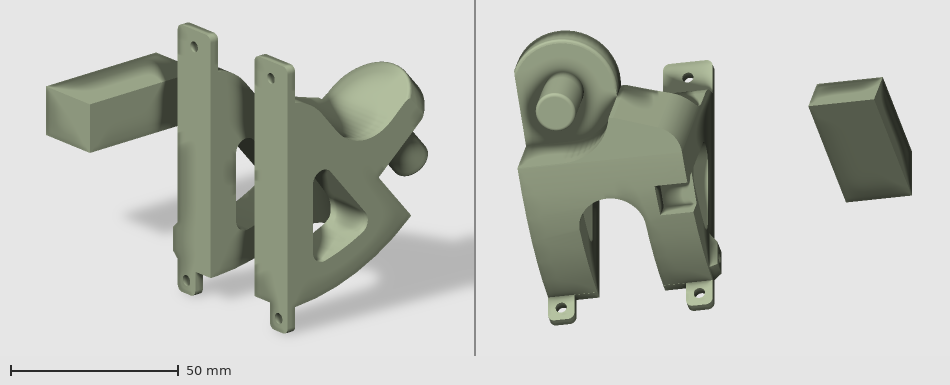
import math

import cadquery as cq


TILT = 50.0
SIN = math.sin(math.radians(TILT))
COS = math.cos(math.radians(TILT))

WIDTH = 50.0
RAIL_WIDTH = 15.0
RAIL_THICKNESS = 3.0
RAIL_TOP = 85.14
TAB_WIDTH = 8.0
TAB_HEIGHT = 8.15
RAIL_CORNER_RADIUS = 2.0
SCREW_DIAMETER = 3.4
TOP_SCREW_INSET = 7.5
TOP_SCREW_Z = 79.7
TAB_SCREW_Z = 4.2

HEAD_X = 36.0
HEAD_REACH = 70.1
DISC_RADIUS = 16.0
DISC_TOP_LEVEL = 18.3
DISC_BOTTOM_LEVEL = 8.6
PIN_RADIUS = 6.0
UNDERSIDE_LEVEL = -11.4
HEAD_EDGE_RADIUS = 1.0

VALLEY_RADIUS = 15.2
VALLEY_END_REACH = 68.8
CREST_Y = 13.5
CREST_CENTRE_Y = 0.0
BELLY_BOTTOM_Z = 8.15

SHOULDER_START_REACH = 53.7
SHOULDER_RADIUS = 9.0
SHOULDER_SLOPE = 19.3
ARM_END_REACH = 66.7

SLOT_TILT = 14.3
SLOT_BACK_Y = 29.1
SLOT_BACK_Z = 54.85

WINDOW_FRONT_Y = 10.0
WINDOW_REACH = 43.8
WINDOW_BELLY_OFFSET = 10.2
WINDOW_CORNER_RADIUS = 4.0

NOTCH_WIDTH = 10.0
NOTCH_TOP_LEVEL = -1.2
NOTCH_DEPTH = 10.0

BOSS_HEIGHT = 2.1
BOSS_BASE_DEPTH = 7.8
BOSS_BOTTOM_Z = 9.9
BOSS_TOP_Z = 21.7
BOSS_HOLE_DIAMETER = 3.1
BOSS_HOLE_Y = 2.9
BOSS_HOLE_DEPTH = 5.0

WEDGE_X = -60.0
WEDGE_WIDTH = 20.0
WEDGE_BOTTOM_Z = 32.2
WEDGE_HEIGHT = 15.5
WEDGE_LENGTH = 56.4

OVERCUT = 1.0
FAR = 200.0


def yz_point(reach, level):
    """(Y, Z) of a point given by its reach and level in the head's tilted directions."""
    return (reach * SIN - level * COS, reach * COS + level * SIN)


def head_plane(level):
    """Plane square to the head axis: local x is X and local y is the reach."""
    y, z = yz_point(0, level)
    return cq.Workplane(cq.Plane(origin=(0, y, z), xDir=(1, 0, 0), normal=(0, -COS, SIN)))


def side_plane(x):
    """Plane square to X: local x is Y and local y is Z."""
    return cq.Workplane("YZ", origin=(x, 0, 0))


def polar(centre, radius, degrees):
    """Point on a circle."""
    angle = math.radians(degrees)
    return (centre[0] + radius * math.cos(angle), centre[1] + radius * math.sin(angle))


BELLY_RADIUS = (BELLY_BOTTOM_Z * SIN - UNDERSIDE_LEVEL) / (1 - SIN)
BELLY_CENTRE = (0, BELLY_BOTTOM_Z + BELLY_RADIUS)


def arm_profile():
    """Side profile: valley behind the disc, crest against the rails, round belly below."""
    valley_centre = yz_point(VALLEY_END_REACH, DISC_TOP_LEVEL + VALLEY_RADIUS)
    valley_start_angle = 270 - TILT
    valley_start = polar(valley_centre, VALLEY_RADIUS, valley_start_angle)
    valley_middle = polar(valley_centre, VALLEY_RADIUS, valley_start_angle + 45)
    valley_end = yz_point(VALLEY_END_REACH, DISC_TOP_LEVEL)

    crest_start = (CREST_Y, valley_start[1] + (valley_start[0] - CREST_Y) * SIN / COS)
    crest_radius = (CREST_Y - CREST_CENTRE_Y) / SIN
    crest_centre = (CREST_CENTRE_Y, crest_start[1] - crest_radius * COS)

    return (
        side_plane(0)
        .moveTo(0, BELLY_BOTTOM_Z)
        .threePointArc(
            polar(BELLY_CENTRE, BELLY_RADIUS, -90 + (90 - TILT) / 2),
            polar(BELLY_CENTRE, BELLY_RADIUS, -TILT),
        )
        .lineTo(*yz_point(VALLEY_END_REACH, UNDERSIDE_LEVEL))
        .lineTo(*valley_end)
        .threePointArc(valley_middle, valley_start)
        .lineTo(*crest_start)
        .threePointArc(
            polar(crest_centre, crest_radius, 90 - TILT / 2),
            polar(crest_centre, crest_radius, 90),
        )
        .close()
        .extrude(WIDTH)
    )


def arm_outline():
    """Outline square to the head axis: rounded left shoulder, sloping edge, flat end under the disc."""
    centre = (SHOULDER_RADIUS, SHOULDER_START_REACH)
    slope_start = polar(centre, SHOULDER_RADIUS, 90 + SHOULDER_SLOPE)
    slope_run = (ARM_END_REACH - slope_start[1]) / math.tan(math.radians(SHOULDER_SLOPE))
    disc_side_x = HEAD_X - math.sqrt(DISC_RADIUS**2 - (HEAD_REACH - ARM_END_REACH) ** 2)
    return (
        head_plane(-FAR / 2)
        .moveTo(0, -FAR)
        .lineTo(0, SHOULDER_START_REACH)
        .threePointArc(polar(centre, SHOULDER_RADIUS, 135 + SHOULDER_SLOPE / 2), slope_start)
        .lineTo(slope_start[0] + slope_run, ARM_END_REACH)
        .lineTo(disc_side_x, ARM_END_REACH)
        .lineTo(disc_side_x, VALLEY_END_REACH)
        .lineTo(WIDTH, VALLEY_END_REACH)
        .lineTo(WIDTH, -FAR)
        .close()
        .extrude(FAR)
    )


def head_cylinder(radius, bottom_level, top_level):
    """Cylinder on the head axis."""
    base = head_plane(bottom_level).center(HEAD_X, HEAD_REACH)
    return base.circle(radius).extrude(top_level - bottom_level)


def right_of(x):
    """All the space to the right of x."""
    return side_plane(x).rect(2 * FAR, 2 * FAR).extrude(FAR)


def head_disc():
    """Disc with rounded rims, cut flush with the right side of the bracket."""
    disc = head_cylinder(DISC_RADIUS, DISC_BOTTOM_LEVEL, DISC_TOP_LEVEL)
    disc = disc.edges("%CIRCLE").fillet(HEAD_EDGE_RADIUS)
    return disc.cut(right_of(WIDTH))


def pin_clearance():
    """Pocket around the pin below the disc, round on the left and running out on the right."""
    bottom_level = UNDERSIDE_LEVEL - OVERCUT
    run_out = (
        head_plane(bottom_level)
        .center(HEAD_X, HEAD_REACH)
        .rect(FAR, 2 * DISC_RADIUS)
        .extrude(DISC_BOTTOM_LEVEL - bottom_level)
    )
    run_out = run_out.intersect(right_of(HEAD_X))
    return head_cylinder(DISC_RADIUS, bottom_level, DISC_BOTTOM_LEVEL).union(run_out)


def head_pin():
    """Pin below the disc with a rounded tip, reaching the underside level."""
    pin = head_cylinder(PIN_RADIUS, UNDERSIDE_LEVEL, DISC_BOTTOM_LEVEL + OVERCUT)
    tip = cq.selectors.DirectionMinMaxSelector(cq.Vector(0, COS, -SIN))
    return pin.faces(tip).edges().fillet(HEAD_EDGE_RADIUS)


def slot():
    """Gap between the legs whose round back leans toward the mounting face at the top."""
    lean = math.radians(SLOT_TILT)
    plane = cq.Plane(
        origin=(WIDTH / 2, SLOT_BACK_Y, SLOT_BACK_Z),
        xDir=(1, 0, 0),
        normal=(0, -math.sin(lean), math.cos(lean)),
    )
    radius = WIDTH / 2 - RAIL_WIDTH
    return (
        cq.Workplane(plane)
        .moveTo(-radius, -FAR)
        .lineTo(-radius, -radius)
        .threePointArc((0, 0), (radius, -radius))
        .lineTo(radius, -FAR)
        .close()
        .extrude(FAR / 2, both=True)
    )


def windows():
    """Opening through both legs: upright front, tilted back, floor following the belly."""
    floor_radius = BELLY_RADIUS - WINDOW_BELLY_OFFSET
    floor_front_z = BELLY_CENTRE[1] - math.sqrt(floor_radius**2 - WINDOW_FRONT_Y**2)
    peak_z = (WINDOW_REACH - WINDOW_FRONT_Y * SIN) / COS
    centre_reach = BELLY_CENTRE[1] * COS
    centre_level = BELLY_CENTRE[1] * SIN
    corner_level = centre_level - math.sqrt(floor_radius**2 - (centre_reach - WINDOW_REACH) ** 2)
    corner = yz_point(WINDOW_REACH, corner_level)
    middle_y = (WINDOW_FRONT_Y + corner[0]) / 2
    middle_z = BELLY_CENTRE[1] - math.sqrt(floor_radius**2 - middle_y**2)
    opening = (
        side_plane(-OVERCUT)
        .moveTo(WINDOW_FRONT_Y, peak_z)
        .lineTo(WINDOW_FRONT_Y, floor_front_z)
        .threePointArc((middle_y, middle_z), corner)
        .close()
        .extrude(WIDTH + 2 * OVERCUT)
    )
    return opening.edges("|X").fillet(WINDOW_CORNER_RADIUS)


def notch():
    """Square notch in the underside, open below and to the left."""
    open_level = NOTCH_TOP_LEVEL - 2 * NOTCH_WIDTH
    return (
        side_plane(-OVERCUT)
        .polyline(
            [
                yz_point(WINDOW_REACH, NOTCH_TOP_LEVEL),
                yz_point(WINDOW_REACH, open_level),
                yz_point(WINDOW_REACH - NOTCH_WIDTH, open_level),
                yz_point(WINDOW_REACH - NOTCH_WIDTH, NOTCH_TOP_LEVEL),
            ]
        )
        .close()
        .extrude(NOTCH_DEPTH + OVERCUT)
    )


def left_rail():
    """Mounting rail with a foot tab flush to its outer edge and two screw holes."""
    rail_length = RAIL_TOP - TAB_HEIGHT
    rail = cq.Workplane("XY").box(RAIL_WIDTH, RAIL_THICKNESS, rail_length, centered=False)
    rail = rail.translate((0, 0, TAB_HEIGHT)).edges("|Y and >Z").fillet(RAIL_CORNER_RADIUS)
    tab = cq.Workplane("XY").box(TAB_WIDTH, RAIL_THICKNESS, TAB_HEIGHT, centered=False)
    tab = tab.edges("|Y and <Z").fillet(RAIL_CORNER_RADIUS)
    screw_holes = (
        cq.Workplane("XZ", origin=(0, -OVERCUT, 0))
        .pushPoints([(TOP_SCREW_INSET, TOP_SCREW_Z), (TAB_WIDTH / 2, TAB_SCREW_Z)])
        .circle(SCREW_DIAMETER / 2)
        .extrude(-RAIL_THICKNESS - 2 * OVERCUT)
    )
    return rail.union(tab).cut(screw_holes)


def side_boss():
    """Boss on the left side with 45 degree flanks above, below and behind."""
    base_height = BOSS_TOP_Z - BOSS_BOTTOM_Z
    middle_z = (BOSS_TOP_Z + BOSS_BOTTOM_Z) / 2
    top_depth = BOSS_BASE_DEPTH - BOSS_HEIGHT
    top_height = base_height - 2 * BOSS_HEIGHT
    return (
        side_plane(0)
        .center(BOSS_BASE_DEPTH / 2, middle_z)
        .rect(BOSS_BASE_DEPTH, base_height)
        .workplane(offset=-BOSS_HEIGHT)
        .center(-BOSS_HEIGHT / 2, 0)
        .rect(top_depth, top_height)
        .loft()
    )


def boss_hole():
    """Blind hole into the boss from the left."""
    middle_z = (BOSS_TOP_Z + BOSS_BOTTOM_Z) / 2
    return (
        side_plane(-BOSS_HEIGHT)
        .center(BOSS_HOLE_Y, middle_z)
        .circle(BOSS_HOLE_DIAMETER / 2)
        .extrude(BOSS_HOLE_DEPTH)
    )


def make_bracket():
    arm = arm_profile().intersect(arm_outline())
    arm = arm.cut(pin_clearance()).cut(slot()).cut(windows()).cut(notch())
    rail = left_rail()
    right_rail = rail.mirror("YZ", (WIDTH / 2, 0, 0))
    bracket = arm.union(rail).union(right_rail).union(head_disc()).union(head_pin())
    return bracket.union(side_boss()).cut(boss_hole())


def make_wedge():
    """Block whose far end slopes at the tilt angle."""
    top_length = WEDGE_LENGTH - WEDGE_HEIGHT * COS / SIN
    top_z = WEDGE_BOTTOM_Z + WEDGE_HEIGHT
    return (
        side_plane(WEDGE_X)
        .polyline(
            [(0, WEDGE_BOTTOM_Z), (WEDGE_LENGTH, WEDGE_BOTTOM_Z), (top_length, top_z), (0, top_z)]
        )
        .close()
        .extrude(WEDGE_WIDTH)
    )


bracket = make_bracket()
wedge = make_wedge()
result = cq.Compound.makeCompound([bracket.val(), wedge.val()])